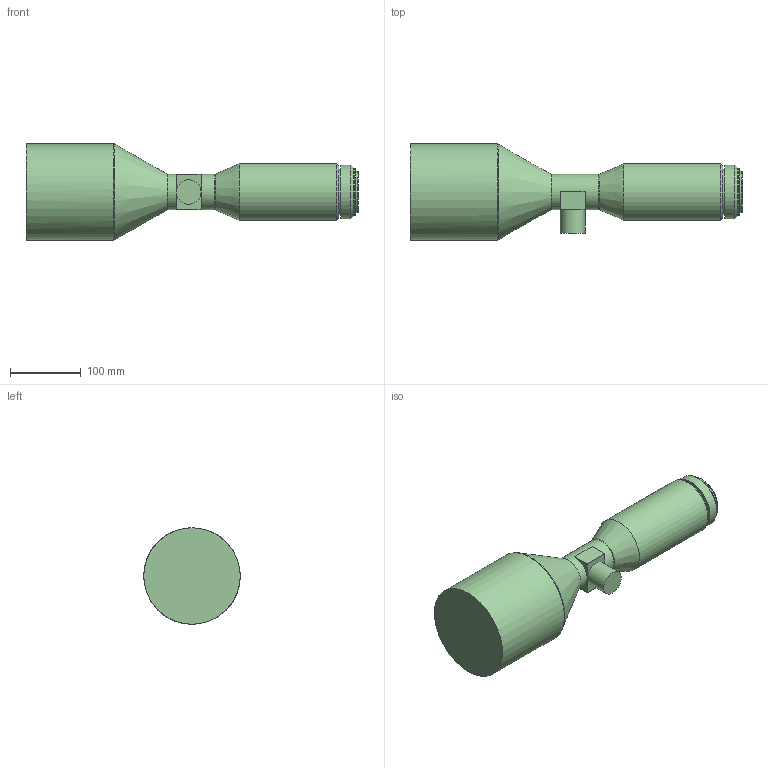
import cadquery as cq

total_length = 468.4
objective_end = 124.1
neck_start = 199.5
neck_end = 266.2
eyepiece_start = 301.0
eyepiece_end = 441.0
focus_ring_start = 444.0
focus_ring_end = 462.0
collar_end = 464.4

objective_radius = 68.0
neck_radius = 25.0
eyepiece_radius = 40.0
groove_radius = 32.0
focus_ring_radius = 38.0
collar_radius = 33.5
end_cap_radius = 29.3

eyepiece_chamfer = 3.0
focus_ring_chamfer = focus_ring_radius - collar_radius
objective_blend = 2.5
neck_blend = 3.0
rear_edge_fillet = 0.9

turret_width = 35.0
turret_center = 229.5
knob_radius = turret_width / 2
knob_reach = 58.0


def make_body():
    """Revolve the half profile of the tube about the X axis."""
    profile = (
        cq.Workplane("XZ")
        .moveTo(0, 0)
        .lineTo(0, objective_radius)
        .lineTo(objective_end, objective_radius)
        .lineTo(neck_start, neck_radius)
        .lineTo(neck_end, neck_radius)
        .lineTo(eyepiece_start, eyepiece_radius)
        .lineTo(eyepiece_end - eyepiece_chamfer, eyepiece_radius)
        .lineTo(eyepiece_end, eyepiece_radius - eyepiece_chamfer)
        .lineTo(eyepiece_end, groove_radius)
        .lineTo(focus_ring_start, groove_radius)
        .lineTo(focus_ring_start, focus_ring_radius)
        .lineTo(focus_ring_end - focus_ring_chamfer, focus_ring_radius)
        .lineTo(focus_ring_end, collar_radius)
        .lineTo(collar_end, collar_radius)
        .lineTo(collar_end, end_cap_radius)
        .lineTo(total_length, end_cap_radius)
        .lineTo(total_length, 0)
        .close()
    )
    return profile.revolve(360, (0, 0, 0), (1, 0, 0))


def round_rim(body, station, fillet_radius):
    """Fillet the largest circular edge centred at one station on the axis."""
    tolerance = 0.01
    near_station = cq.selectors.BoxSelector(
        (station - tolerance, -tolerance, -tolerance),
        (station + tolerance, tolerance, tolerance),
    )
    largest = cq.selectors.RadiusNthSelector(-1)
    return body.edges("%CIRCLE").edges(near_station).edges(largest).fillet(fillet_radius)


def make_turret():
    """Square saddle from the axis to the neck's -Y side, with a round knob."""
    saddle = (
        cq.Workplane("XY")
        .box(turret_width, neck_radius, 2 * neck_radius)
        .translate((turret_center, -neck_radius / 2, 0))
    )
    knob = (
        cq.Workplane("XZ")
        .center(turret_center, 0)
        .circle(knob_radius)
        .extrude(knob_reach)
    )
    return saddle.union(knob)


body = make_body()
body = round_rim(body, objective_end, objective_blend)
body = round_rim(body, neck_end, neck_blend)
body = round_rim(body, collar_end, rear_edge_fillet)
body = round_rim(body, total_length, rear_edge_fillet)

result = body.union(make_turret())